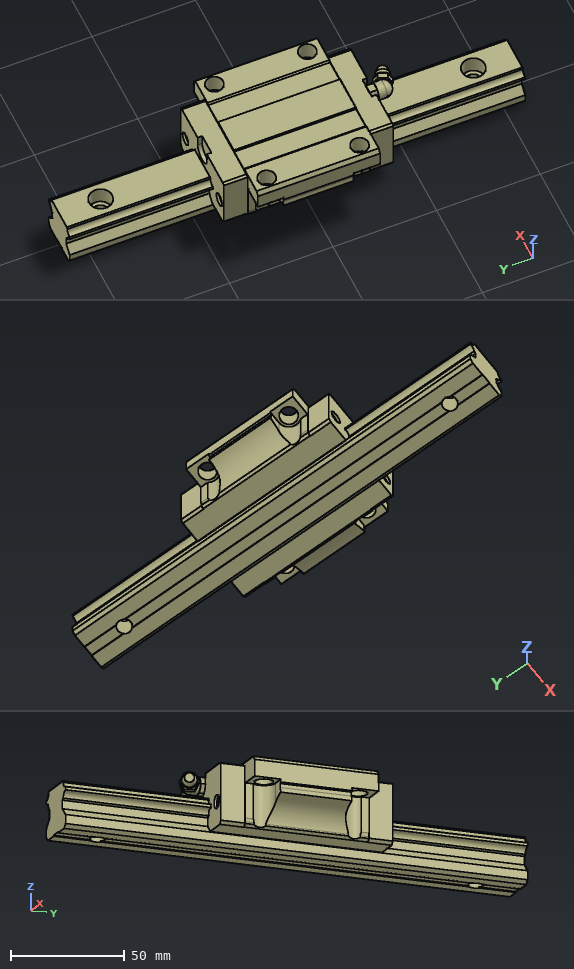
import cadquery as cq
import math

RAIL_LENGTH = 220.0
RAIL_HEIGHT = 22.5
RAIL_HALF_WIDTH = 11.5
RAIL_TOP_HALF_WIDTH = 8.4
RAIL_SHOULDER_HALF_WIDTH = 8.8
RAIL_NECK_HALF_WIDTH = 7.7
RAIL_EDGE_CHAMFER = 1.8
RAIL_FOOT_HEIGHT = 6.0
RAIL_NECK_BOTTOM = 9.7
RAIL_NECK_TOP = 13.6
LOWER_GROOVE_BOTTOM = 14.3
LOWER_GROOVE_MIDDLE = (9.5, 16.3)
LIP_BOTTOM = 17.4
LIP_TOP = 19.0
UPPER_GROOVE_MIDDLE = (9.7, 19.5)
UPPER_GROOVE_TOP = 21.5
RELIEF_HALF_WIDTH = 2.6
RELIEF_DEPTH = 0.5
RAIL_HOLE_PITCH = 180.0
RAIL_HOLE_DIAMETER = 7.0
RAIL_BORE_DIAMETER = 11.0
RAIL_BORE_DEPTH = 9.0

BLOCK_LENGTH = 59.0
BLOCK_HALF_WIDTH = 35.0
BLOCK_TOP = 36.0
BLOCK_BOTTOM = 6.4
BLOCK_TOP_CHAMFER_WIDTH = 1.5
BLOCK_TOP_CHAMFER_HEIGHT = 2.0
SKIRT_HALF_WIDTH = 23.8
SKIRT_CHAMFER = 1.3
SKIRT_TOP = 8.5
FLANK_MIDDLE = (26.8, 15.6)
SIDE_GROOVE_HALF_WIDTH = 34.0
SIDE_GROOVE_TOP = 25.0
SIDE_GROOVE_FLOOR_TOP = 24.6
SIDE_GROOVE_FLOOR_BOTTOM = 22.9
FLANGE_LIP_HALF_WIDTH = 34.8
FLANGE_BOTTOM = 20.5
RECESS_FLOOR = 35.5
RIDGE_HALF_WIDTH = 8.5
PAD_HALF_WIDTH = 20.2
RIDGE_SLOPE_WIDTH = 0.5
PAD_SLOPE_WIDTH = 0.9

BOLT_SPACING_X = 57.0
BOLT_SPACING_Y = 44.9
BOLT_DIAMETER = 8.4
POCKET_RADIUS = 5.5
POCKET_TOP = 26.5
POCKET_WALL_OFFSET = 4.5

CAP_THICKNESS = 11.5
CAP_HALF_WIDTH = 23.5
CAP_TOP = 35.0
CAP_CHAMFER_WIDTH = 1.3
CAP_TOP_CHAMFER_HEIGHT = 0.7
CAP_BOTTOM_CHAMFER_HEIGHT = 1.5
SCREW_X = 18.5
SCREW_Z = 18.0
SCREW_BORE_DIAMETER = 6.2
SCREW_BORE_DEPTH = 1.3
SCREW_HOLE_DIAMETER = 3.3
SCREW_HOLE_DEPTH = 4.0
NOTCH_RADIUS = 5.0
NOTCH_DEPTH = 2.2
NOTCH_Z = 30.0

NIPPLE_Z = 30.4
ELBOW_RADIUS = 4.2
ELBOW_Y = -46.5
HEX_ACROSS_CORNERS = 8.5
HEX_END_Y = -42.7
ARM_ANGLE = 22.0
ARM_HEX_ACROSS_CORNERS = 9.0
ARM_HEX_START = 3.0
ARM_HEX_END = 5.7
ARM_NECK_RADIUS = 3.0
ARM_HEAD_START = 6.5
ARM_HEAD_RADIUS = 3.5
ARM_TAPER_START = 8.4
ARM_TIP = 11.5
ARM_TIP_RADIUS = 2.2

BOLT_X = BOLT_SPACING_X / 2
BOLT_Y = BOLT_SPACING_Y / 2
POCKET_WALL_X = BOLT_X - POCKET_WALL_OFFSET
CARRIAGE_END_Y = BLOCK_LENGTH / 2 + CAP_THICKNESS
NOTCH_FLOOR_Y = CARRIAGE_END_Y - NOTCH_DEPTH


def mirrored_half(outline, length):
    """Extrude a closed half outline symmetrically along Y and join it to its mirror image."""
    half = outline.extrude(length / 2, both=True)
    return half.union(half.mirror("YZ")).clean()


def rail_bar(length):
    """Rail section: ball grooves above and below a thin lip, a narrow neck and a wide foot."""
    outline = (
        cq.Workplane("XZ")
        .moveTo(0, RELIEF_DEPTH)
        .lineTo(RELIEF_HALF_WIDTH, RELIEF_DEPTH)
        .lineTo(RELIEF_HALF_WIDTH, 0)
        .lineTo(RAIL_HALF_WIDTH - RAIL_EDGE_CHAMFER, 0)
        .lineTo(RAIL_HALF_WIDTH, RAIL_EDGE_CHAMFER)
        .lineTo(RAIL_HALF_WIDTH, RAIL_FOOT_HEIGHT)
        .lineTo(RAIL_NECK_HALF_WIDTH, RAIL_NECK_BOTTOM)
        .lineTo(RAIL_NECK_HALF_WIDTH, RAIL_NECK_TOP)
        .lineTo(RAIL_SHOULDER_HALF_WIDTH, LOWER_GROOVE_BOTTOM)
        .threePointArc(LOWER_GROOVE_MIDDLE, (RAIL_HALF_WIDTH, LIP_BOTTOM))
        .lineTo(RAIL_HALF_WIDTH, LIP_TOP)
        .threePointArc(UPPER_GROOVE_MIDDLE, (RAIL_SHOULDER_HALF_WIDTH, UPPER_GROOVE_TOP))
        .lineTo(RAIL_TOP_HALF_WIDTH, RAIL_HEIGHT)
        .lineTo(0, RAIL_HEIGHT)
        .close()
    )
    return mirrored_half(outline, length)


def make_rail():
    """Rail with counterbored mounting holes near its two ends."""
    return (
        rail_bar(RAIL_LENGTH)
        .copyWorkplane(cq.Workplane("XY", origin=(0, 0, RAIL_HEIGHT)))
        .rarray(2.2, RAIL_HOLE_PITCH, 1, 2)
        .cboreHole(RAIL_HOLE_DIAMETER, RAIL_BORE_DIAMETER, RAIL_BORE_DEPTH)
    )


def block_body():
    """Middle of the carriage: flanged section with raised pads and a raised middle ridge on top."""
    outline = (
        cq.Workplane("XZ")
        .moveTo(0, BLOCK_TOP)
        .lineTo(RIDGE_HALF_WIDTH, BLOCK_TOP)
        .lineTo(RIDGE_HALF_WIDTH + RIDGE_SLOPE_WIDTH, RECESS_FLOOR)
        .lineTo(PAD_HALF_WIDTH - PAD_SLOPE_WIDTH, RECESS_FLOOR)
        .lineTo(PAD_HALF_WIDTH, BLOCK_TOP)
        .lineTo(BLOCK_HALF_WIDTH - BLOCK_TOP_CHAMFER_WIDTH, BLOCK_TOP)
        .lineTo(BLOCK_HALF_WIDTH, BLOCK_TOP - BLOCK_TOP_CHAMFER_HEIGHT)
        .lineTo(BLOCK_HALF_WIDTH, SIDE_GROOVE_TOP)
        .lineTo(SIDE_GROOVE_HALF_WIDTH, SIDE_GROOVE_FLOOR_TOP)
        .lineTo(SIDE_GROOVE_HALF_WIDTH, SIDE_GROOVE_FLOOR_BOTTOM)
        .lineTo(FLANGE_LIP_HALF_WIDTH, FLANGE_BOTTOM)
        .threePointArc(FLANK_MIDDLE, (SKIRT_HALF_WIDTH, SKIRT_TOP))
        .lineTo(SKIRT_HALF_WIDTH, BLOCK_BOTTOM + SKIRT_CHAMFER)
        .lineTo(SKIRT_HALF_WIDTH - SKIRT_CHAMFER, BLOCK_BOTTOM)
        .lineTo(0, BLOCK_BOTTOM)
        .close()
    )
    return mirrored_half(outline, BLOCK_LENGTH)


def bolt_cutter():
    """Cutter for the +X +Y corner: a bolt hole, and a round-walled pocket open to the side and end."""
    hole = cq.Workplane("XY").center(BOLT_X, BOLT_Y).circle(BOLT_DIAMETER / 2).extrude(BLOCK_TOP)
    wall_reach = math.sqrt(POCKET_RADIUS**2 - POCKET_WALL_OFFSET**2)
    pocket = (
        cq.Workplane("XY")
        .moveTo(BLOCK_HALF_WIDTH, BOLT_Y - POCKET_RADIUS)
        .lineTo(BOLT_X, BOLT_Y - POCKET_RADIUS)
        .threePointArc((BOLT_X - POCKET_RADIUS, BOLT_Y), (POCKET_WALL_X, BOLT_Y + wall_reach))
        .lineTo(POCKET_WALL_X, BLOCK_LENGTH / 2)
        .lineTo(BLOCK_HALF_WIDTH, BLOCK_LENGTH / 2)
        .close()
        .extrude(POCKET_TOP)
    )
    return hole.union(pocket)


def make_end_cap():
    """Cap on the -Y end of the block, with a nipple notch and two counterbored screw holes."""
    chamfer_x = CAP_HALF_WIDTH - CAP_CHAMFER_WIDTH
    half_outline = [
        (chamfer_x, BLOCK_BOTTOM),
        (CAP_HALF_WIDTH, BLOCK_BOTTOM + CAP_BOTTOM_CHAMFER_HEIGHT),
        (CAP_HALF_WIDTH, CAP_TOP - CAP_TOP_CHAMFER_HEIGHT),
        (chamfer_x, CAP_TOP),
    ]
    mirrored_outline = [(-x, z) for x, z in reversed(half_outline)]
    cap = (
        cq.Workplane("XZ", origin=(0, -BLOCK_LENGTH / 2, 0))
        .polyline(half_outline + mirrored_outline)
        .close()
        .extrude(CAP_THICKNESS)
    )
    notch = (
        cq.Workplane("XZ", origin=(0, -NOTCH_FLOOR_Y, 0))
        .moveTo(-NOTCH_RADIUS, CAP_TOP)
        .lineTo(-NOTCH_RADIUS, NOTCH_Z)
        .threePointArc((0, NOTCH_Z - NOTCH_RADIUS), (NOTCH_RADIUS, NOTCH_Z))
        .lineTo(NOTCH_RADIUS, CAP_TOP)
        .close()
        .extrude(NOTCH_DEPTH)
    )
    return (
        cap.cut(notch)
        .copyWorkplane(cq.Workplane("XZ", origin=(0, -CARRIAGE_END_Y, 0)))
        .pushPoints([(-SCREW_X, SCREW_Z), (SCREW_X, SCREW_Z)])
        .cboreHole(SCREW_HOLE_DIAMETER, SCREW_BORE_DIAMETER, SCREW_BORE_DEPTH, SCREW_HOLE_DEPTH)
    )


def make_carriage():
    """Block and both end caps in one body, with the rail channel running through."""
    block = block_body()
    corner = bolt_cutter()
    for cutter in (corner, corner.mirror("YZ")):
        block = block.cut(cutter).cut(cutter.mirror("XZ"))
    cap = make_end_cap()
    return block.union(cap).union(cap.mirror("XZ")).cut(rail_bar(2 * CARRIAGE_END_Y))


def make_nipple():
    """Hexagon and ball elbow along Y, with the hexagonal nut and greasing head on the arm."""
    base = (
        cq.Workplane("XZ", origin=(0, -NOTCH_FLOOR_Y, NIPPLE_Z))
        .polygon(6, HEX_ACROSS_CORNERS)
        .extrude(-HEX_END_Y - NOTCH_FLOOR_Y)
    )
    barrel = (
        cq.Workplane("XZ", origin=(0, HEX_END_Y, NIPPLE_Z))
        .circle(ELBOW_RADIUS)
        .extrude(HEX_END_Y - ELBOW_Y)
    )
    ball = cq.Workplane("XY").sphere(ELBOW_RADIUS).translate((0, ELBOW_Y, NIPPLE_Z))

    nut = (
        cq.Workplane("YZ", origin=(ARM_HEX_START, 0, 0))
        .polygon(6, ARM_HEX_ACROSS_CORNERS)
        .extrude(ARM_HEX_END - ARM_HEX_START)
    )
    head = (
        cq.Workplane("XZ")
        .lineTo(0, ARM_NECK_RADIUS)
        .lineTo(ARM_HEAD_START, ARM_NECK_RADIUS)
        .lineTo(ARM_HEAD_START, ARM_HEAD_RADIUS)
        .lineTo(ARM_TAPER_START, ARM_HEAD_RADIUS)
        .lineTo(ARM_TIP, ARM_TIP_RADIUS)
        .lineTo(ARM_TIP, 0)
        .close()
        .revolve(360, (0, 0, 0), (1, 0, 0))
    )
    arm = (
        nut.union(head)
        .rotate((0, 0, 0), (0, 0, 1), -ARM_ANGLE)
        .translate((0, ELBOW_Y, NIPPLE_Z))
    )
    return base.union(barrel).union(ball).union(arm)


rail = make_rail()
carriage = make_carriage()
nipple = make_nipple()

result = cq.Compound.makeCompound(
    [rail.solids().val(), carriage.solids().val(), nipple.solids().val()]
)